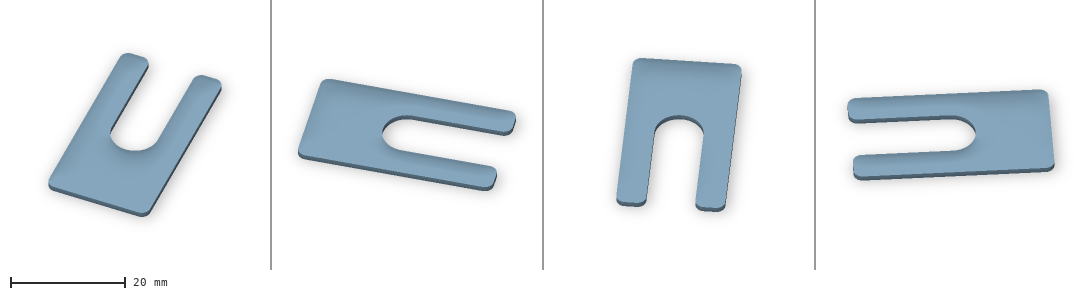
import cadquery as cq

width = 19.05
length = 35.05
thickness = 1.0
corner_radius = 1.58

slot_width = 8.6
slot_depth = 21.85

slot_radius = slot_width / 2
end_y = length / 2
slot_center_y = end_y - slot_depth + slot_radius

plate = cq.Workplane("XY").rect(width, length).extrude(thickness)

slot = (
    cq.Workplane("XY")
    .moveTo(-slot_radius, end_y)
    .lineTo(-slot_radius, slot_center_y)
    .threePointArc((0, slot_center_y - slot_radius), (slot_radius, slot_center_y))
    .lineTo(slot_radius, end_y)
    .close()
    .extrude(thickness)
)

plate_corners = cq.selectors.BoxSelector(
    (-width, end_y - corner_radius, -thickness),
    (width, end_y + corner_radius, 2 * thickness),
) + cq.selectors.BoxSelector(
    (-width, -end_y - corner_radius, -thickness),
    (width, -end_y + corner_radius, 2 * thickness),
)
result = plate.cut(slot).edges("|Z").edges(plate_corners).fillet(corner_radius)